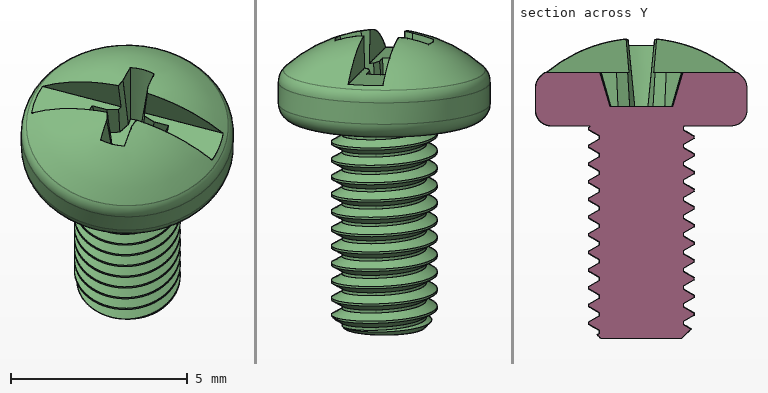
import cadquery as cq
import math

SHANK_LENGTH = 6.005

HEAD_RADIUS = 3.0
HEAD_LOWER_FILLET = 0.46
CYLINDER_TOP = 7.08
HEAD_UPPER_FILLET = 0.45
DOME_EDGE_RADIUS = 2.855
DOME_RADIUS = 4.235
APEX_HEIGHT = 8.52

MAJOR_RADIUS = 1.5
MINOR_RADIUS = 1.195
PITCH = 0.5
CREST_FLAT = PITCH / 8
CREST_HEIGHT = 0.44
FLANK_ANGLE = 30.0
TIP_RADIUS = 1.14
ROOT_OVERLAP = 0.04
TRIM_CLEARANCE = 0.085
HEAD_OVERLAP = 0.085

SLOT_WIDTH = 1.0
SLOT_FLOOR = 7.52
RECESS_FLOOR = 6.565
RECESS_TOP = 8.555
ARM_REACH = 0.88
ARM_HALF_WIDTH = 0.19
ARM_KNEE = 0.66
INNER_CORNER = 0.33
REACH_TAPER = 0.3
SIDE_TAPER = 0.098
KNEE_TAPER = 0.043
CORNER_TAPER = 0.06


def make_head():
    dome_center = APEX_HEIGHT - DOME_RADIUS
    dome_edge = dome_center + math.sqrt(DOME_RADIUS**2 - DOME_EDGE_RADIUS**2)
    dome_middle = DOME_EDGE_RADIUS / 2
    dome_middle_height = dome_center + math.sqrt(DOME_RADIUS**2 - dome_middle**2)
    upper_angle = math.asin((dome_edge - CYLINDER_TOP) / HEAD_UPPER_FILLET) / 2
    upper_middle = (
        HEAD_RADIUS - HEAD_UPPER_FILLET * (1 - math.cos(upper_angle)),
        CYLINDER_TOP + HEAD_UPPER_FILLET * math.sin(upper_angle),
    )
    lower_inset = HEAD_LOWER_FILLET * (1 - math.sqrt(0.5))
    return (
        cq.Workplane("XZ")
        .moveTo(0, SHANK_LENGTH)
        .lineTo(HEAD_RADIUS - HEAD_LOWER_FILLET, SHANK_LENGTH)
        .threePointArc(
            (HEAD_RADIUS - lower_inset, SHANK_LENGTH + lower_inset),
            (HEAD_RADIUS, SHANK_LENGTH + HEAD_LOWER_FILLET),
        )
        .lineTo(HEAD_RADIUS, CYLINDER_TOP)
        .threePointArc(upper_middle, (DOME_EDGE_RADIUS, dome_edge))
        .threePointArc((dome_middle, dome_middle_height), (0, APEX_HEIGHT))
        .close()
        .revolve(360, (0, 0), (0, 1))
    )


def make_shank():
    shank_top = SHANK_LENGTH + HEAD_OVERLAP
    core = cq.Workplane("XY").circle(MINOR_RADIUS).extrude(shank_top)

    flank_slope = math.tan(math.radians(FLANK_ANGLE))
    base_radius = MINOR_RADIUS - ROOT_OVERLAP
    crest_half = CREST_FLAT / 2
    base_half = crest_half + (MAJOR_RADIUS - base_radius) * flank_slope
    start = CREST_HEIGHT - 2 * PITCH
    turns = math.ceil((shank_top - start) / PITCH) + 1
    helix = cq.Wire.makeHelix(PITCH, turns * PITCH, MINOR_RADIUS).translate(cq.Vector(0, 0, start))
    ridge = (
        cq.Workplane("XZ")
        .polyline([
            (base_radius, start - base_half),
            (MAJOR_RADIUS, start - crest_half),
            (MAJOR_RADIUS, start + crest_half),
            (base_radius, start + base_half),
        ])
        .close()
        .sweep(cq.Workplane(helix), isFrenet=True)
    )

    envelope_radius = MAJOR_RADIUS + TRIM_CLEARANCE
    envelope = (
        cq.Workplane("XZ")
        .polyline([
            (0, 0),
            (TIP_RADIUS, 0),
            (envelope_radius, envelope_radius - TIP_RADIUS),
            (envelope_radius, shank_top),
            (0, shank_top),
        ])
        .close()
        .revolve(360, (0, 0), (0, 1))
    )
    return core.intersect(envelope).union(ridge.intersect(envelope))


def cross_outline(height, reach):
    """Cross section of the recess at a height above its floor."""
    side = ARM_HALF_WIDTH + SIDE_TAPER * height
    knee = ARM_KNEE + KNEE_TAPER * height
    corner = INNER_CORNER + CORNER_TAPER * height
    points = []
    for quarter in range(4):
        cosine = round(math.cos(quarter * math.pi / 2))
        sine = round(math.sin(quarter * math.pi / 2))
        for x, y in [(reach, -side), (reach, side), (knee, side), (corner, corner), (side, knee)]:
            points.append((x * cosine - y * sine, x * sine + y * cosine))
    return points


def make_recess():
    depth = RECESS_TOP - RECESS_FLOOR
    top_reach = ARM_REACH + REACH_TAPER * depth
    cross = (
        cq.Workplane("XY", origin=(0, 0, RECESS_FLOOR))
        .polyline(cross_outline(0, top_reach))
        .close()
        .workplane(offset=depth)
        .polyline(cross_outline(depth, top_reach))
        .close()
        .loft(ruled=True)
    )
    cone = cq.Workplane(
        cq.Solid.makeCone(ARM_REACH, top_reach, depth, cq.Vector(0, 0, RECESS_FLOOR))
    )
    return cross.intersect(cone)


def make_slot():
    return (
        cq.Workplane("XY", origin=(0, 0, SLOT_FLOOR))
        .rect(2 * HEAD_RADIUS, SLOT_WIDTH)
        .extrude(RECESS_TOP - SLOT_FLOOR)
    )


head = make_head().cut(make_slot()).cut(make_recess())
result = head.union(make_shank())